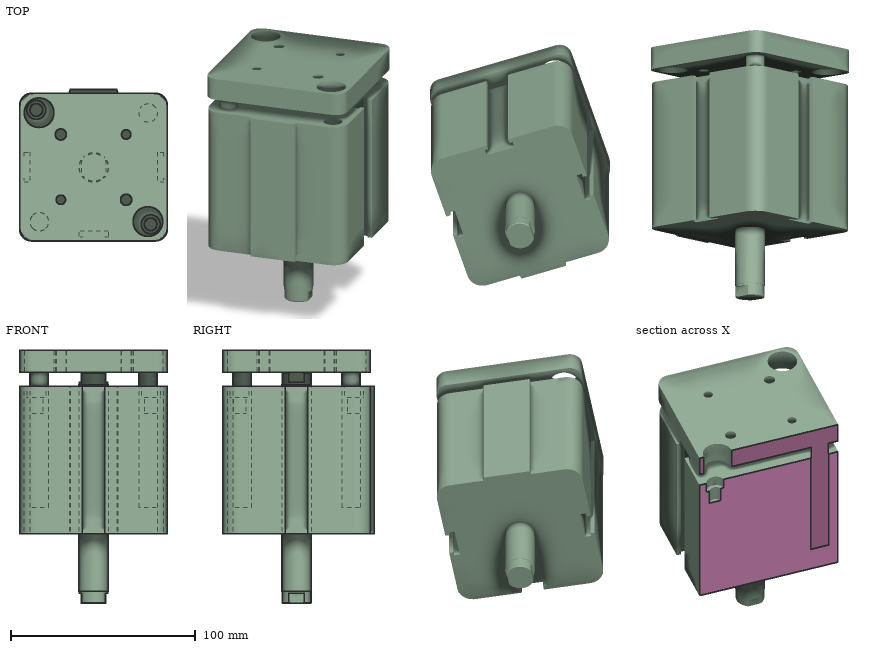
import cadquery as cq

total_height = 137
side = 80.0
plate_thickness = 12.0
plate_gap = 7.4
plate_bottom = total_height - plate_thickness
housing_height = side
housing_top = plate_bottom - plate_gap
housing_bottom = housing_top - housing_height

plate_corner_radius = 6.7
housing_corner_radius = 8.5

slot_opening = 12.0
slot_undercut = 1.9
slot_lip = 2.3
slot_depth = 5.5
slot_floor = slot_opening + 2 * slot_undercut

rail_height = 2.0
rail_outer_width = 25.2
rail_base_width = 26.3

mount_offset = 31.0
mount_diameter = 6.8
mount_depth = 14.7
mount_counterbore_diameter = 10.3
mount_counterbore_depth = 6.0

rod_diameter = 16.0
neck_diameter = 15.6
neck_length = 6.6
flat_length = 5.3
flat_width = 13.2
rod_chamfer = 0.4

guide_diameter = 10.0
guide_offset = 29.5
guide_bore_floor = 14.4
guide_bottom = housing_bottom + guide_bore_floor

access_hole_diameter = 16.0
plate_hole_offset = 17.7
large_plate_hole_diameter = 6.0
small_plate_hole_diameter = 5.1


def rising_diagonal(offset):
    """Points in the -X-Y and +X+Y quadrants."""
    return [(-offset, -offset), (offset, offset)]


def falling_diagonal(offset):
    """Points in the -X+Y and +X-Y quadrants."""
    return [(-offset, offset), (offset, -offset)]


def cylinders(points, diameter, bottom, top):
    """Vertical cylinders between two heights."""
    plane = cq.Workplane("XY", origin=(0, 0, bottom))
    return plane.pushPoints(points).circle(diameter / 2).extrude(top - bottom)


def rounded_block(corner_radius, bottom, height):
    """Square block with rounded vertical edges."""
    block = cq.Workplane("XY", origin=(0, 0, bottom)).rect(side, side).extrude(height)
    return block.edges("|Z").fillet(corner_radius)


def t_slot(angle):
    """Full-height T-slot cutter for the -Y side, turned about Z by the angle."""
    lip_y = -side / 2 + slot_lip
    floor_y = -side / 2 + slot_depth
    plane = cq.Workplane("XY", origin=(0, 0, housing_bottom))
    opening = plane.rect(slot_opening, 2 * slot_depth).extrude(housing_height)
    opening = opening.translate((0, -side / 2, 0))
    undercut = plane.rect(slot_floor, floor_y - lip_y).extrude(housing_height)
    undercut = undercut.translate((0, (lip_y + floor_y) / 2, 0))
    return opening.union(undercut).rotate((0, 0, 0), (0, 0, 1), angle)


def side_rail():
    """Full-height rail with sloping sides on the +Y side."""
    base_y = side / 2
    outer_y = base_y + rail_height
    return (
        cq.Workplane("XY", origin=(0, 0, housing_bottom))
        .polyline([
            (-rail_base_width / 2, base_y),
            (rail_base_width / 2, base_y),
            (rail_outer_width / 2, outer_y),
            (-rail_outer_width / 2, outer_y),
        ])
        .close()
        .extrude(housing_height)
    )


def make_housing():
    """Cylinder housing with T-slots, rail, rod bores and mounting holes."""
    body = rounded_block(housing_corner_radius, housing_bottom, housing_height)
    body = body.union(side_rail())
    for angle in (-90, 0, 90):
        body = body.cut(t_slot(angle))

    body = body.cut(cylinders([(0, 0)], rod_diameter, housing_bottom, housing_top))
    guide_points = rising_diagonal(guide_offset)
    body = body.cut(cylinders(guide_points, guide_diameter, guide_bottom, housing_top))

    mount_points = falling_diagonal(mount_offset)
    mount_floor = housing_top - mount_depth
    counterbore_floor = housing_top - mount_counterbore_depth
    body = body.cut(cylinders(mount_points, mount_diameter, mount_floor, housing_top))
    return body.cut(
        cylinders(mount_points, mount_counterbore_diameter, counterbore_floor, housing_top)
    )


def make_piston_rod():
    """Rod from Z = 0 to the underside of the plate, with the same neck at both ends."""
    neck = cylinders([(0, 0)], neck_diameter, 0, plate_bottom).edges().chamfer(rod_chamfer)
    shank = cylinders([(0, 0)], rod_diameter, neck_length, plate_bottom - neck_length)
    rod = neck.union(shank)
    flat_zone = cq.Workplane("XY").rect(2 * rod_diameter, 2 * rod_diameter).extrude(flat_length)
    kept_core = cq.Workplane("XY").rect(flat_width, 2 * rod_diameter).extrude(flat_length)
    flats = flat_zone.cut(kept_core)
    rod = rod.cut(flats)
    return rod.cut(flats.translate((0, 0, plate_bottom - flat_length)))


def make_plate():
    """Front plate with access holes over the mounting holes and four fixing holes."""
    plate = rounded_block(plate_corner_radius, plate_bottom, plate_thickness)
    hole_groups = [
        (falling_diagonal(guide_offset), access_hole_diameter),
        (falling_diagonal(plate_hole_offset), large_plate_hole_diameter),
        (rising_diagonal(plate_hole_offset), small_plate_hole_diameter),
    ]
    for points, diameter in hole_groups:
        plate = plate.cut(cylinders(points, diameter, plate_bottom, total_height))
    return plate


def make_moving_unit():
    """Plate, piston rod and guide rods, which move as one piece."""
    guide_rods = cylinders(rising_diagonal(guide_offset), guide_diameter, guide_bottom, plate_bottom)
    return make_plate().union(make_piston_rod()).union(guide_rods)


housing = make_housing()
moving_unit = make_moving_unit()
result = cq.Compound.makeCompound([housing.val(), moving_unit.val()])